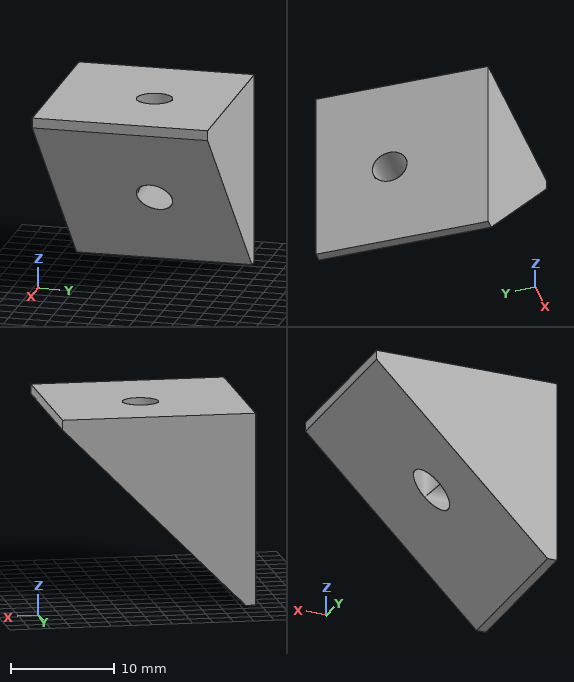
import cadquery as cq

leg_length = 19.0
width = 17.5
toe_thickness = 1.0
hole_diameter = 3.5
hole_distance = 10.0
hole_offset_y = 1.25



def bracket_body():
    """Triangular corner block with blunt toes and a 45 degree sloping face."""
    return (
        cq.Workplane("XZ")
        .moveTo(0, 0)
        .lineTo(leg_length, 0)
        .lineTo(leg_length, -toe_thickness)
        .lineTo(toe_thickness, -leg_length)
        .lineTo(0, -leg_length)
        .close()
        .extrude(width / 2, both=True)
    )


def screw_hole(start, direction):
    """Cylinder that runs from a leg face out through the sloping face."""
    return cq.Workplane(
        cq.Solid.makeCylinder(hole_diameter / 2, leg_length, cq.Vector(*start), cq.Vector(*direction))
    )


top_hole = screw_hole((hole_distance, hole_offset_y, 0), (0, 0, -1))
side_hole = screw_hole((0, hole_offset_y, -hole_distance), (1, 0, 0))

result = bracket_body().cut(top_hole).cut(side_hole)